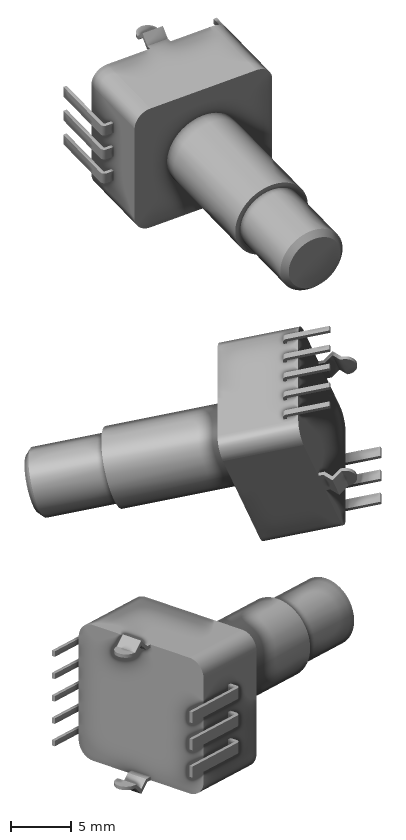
import cadquery as cq
import math


body_length = 7.0
body_width = 13.25
body_height = 12.4
body_corner_radius = 1.5

bushing_diameter = 7.0
bushing_length = 11.03
shaft_diameter = 6.0
shaft_length = 6.97
shaft_chamfer = 0.5

sheet_thickness = 0.3
pin_bend_radius = 0.08

wide_pin_count = 3
wide_pin_pitch = 2.5
wide_pin_width = 1.0
wide_pin_reach = 2.8
wide_pin_stand_off = 1.05
wide_pin_heel = 3.55

narrow_pin_count = 5
narrow_pin_pitch = 2.05
narrow_pin_width = 0.5
narrow_pin_reach = 2.88
narrow_pin_stand_off = 0.53
narrow_pin_heel = 1.25

tab_reach = 3.0
tab_width = 1.95
overall_height = 14.0


def make_body():
    block = cq.Workplane("YZ").rect(body_width, body_height).extrude(body_length)
    return block.edges("|X").fillet(body_corner_radius)


def make_bushing_and_shaft():
    shaft_start = body_length + bushing_length
    bushing = cq.Workplane("YZ", origin=(body_length, 0, 0)).circle(bushing_diameter / 2).extrude(bushing_length)
    shaft = cq.Workplane("YZ", origin=(shaft_start, 0, 0)).circle(shaft_diameter / 2).extrude(shaft_length)
    return bushing.union(shaft.faces(">X").chamfer(shaft_chamfer))


def make_pin_row(side, count, pitch, width, reach, stand_off, heel):
    """Row of L-shaped pins; side is +1 for the +Y wall and -1 for the -Y wall."""
    wall = side * body_width / 2
    outer = wall + side * stand_off
    inner = outer - side * sheet_thickness
    pin = (
        cq.Workplane("XY")
        .moveTo(heel, wall)
        .lineTo(heel, outer)
        .lineTo(-reach, outer)
        .lineTo(-reach, inner)
        .lineTo(heel - sheet_thickness, inner)
        .lineTo(heel - sheet_thickness, wall)
        .close()
        .extrude(width / 2, both=True)
    )
    inside_bend = (heel - sheet_thickness, inner, 0)
    outside_bend = (heel, outer, 0)
    pin = pin.edges(cq.selectors.NearestToPointSelector(inside_bend)).fillet(pin_bend_radius)
    pin = pin.edges(cq.selectors.NearestToPointSelector(outside_bend)).fillet(pin_bend_radius + sheet_thickness)

    row = cq.Workplane("XY")
    for index in range(count):
        height = (index - (count - 1) / 2) * pitch
        row = row.union(pin.translate((0, 0, height)))
    return row


def make_top_tab():
    """Strip with a 45 degree kink and a semicircular tip, flush with the body top."""
    flat_top = body_height / 2
    flat_bottom = flat_top - sheet_thickness
    kink_top = overall_height / 2
    kink_rise = kink_top - flat_top
    tip_radius = tab_width / 2
    tip_end = tip_radius - tab_reach
    kink_center = tip_end + kink_rise
    kink_bottom = kink_top - sheet_thickness * math.sqrt(2)
    inner_half_span = kink_bottom - flat_bottom

    strip = (
        cq.Workplane("XZ")
        .polyline(
            [
                (0, flat_top),
                (kink_center + kink_rise, flat_top),
                (kink_center, kink_top),
                (tip_end, flat_top),
                (-tab_reach, flat_top),
                (-tab_reach, flat_bottom),
                (kink_center - inner_half_span, flat_bottom),
                (kink_center, kink_bottom),
                (kink_center + inner_half_span, flat_bottom),
                (0, flat_bottom),
            ]
        )
        .close()
        .extrude(tab_width / 2, both=True)
    )
    plan = (
        cq.Workplane("XY")
        .moveTo(0, tip_radius)
        .lineTo(tip_end, tip_radius)
        .threePointArc((-tab_reach, 0), (tip_end, -tip_radius))
        .lineTo(0, -tip_radius)
        .close()
        .extrude(overall_height / 2)
    )
    return strip.intersect(plan)


wide_pins = make_pin_row(
    -1, wide_pin_count, wide_pin_pitch, wide_pin_width, wide_pin_reach, wide_pin_stand_off, wide_pin_heel
)
narrow_pins = make_pin_row(
    1,
    narrow_pin_count,
    narrow_pin_pitch,
    narrow_pin_width,
    narrow_pin_reach,
    narrow_pin_stand_off,
    narrow_pin_heel,
)
top_tab = make_top_tab()
bottom_tab = top_tab.mirror("XY")

result = make_body().union(make_bushing_and_shaft())
for attachment in (wide_pins, narrow_pins, top_tab, bottom_tab):
    result = result.union(attachment)